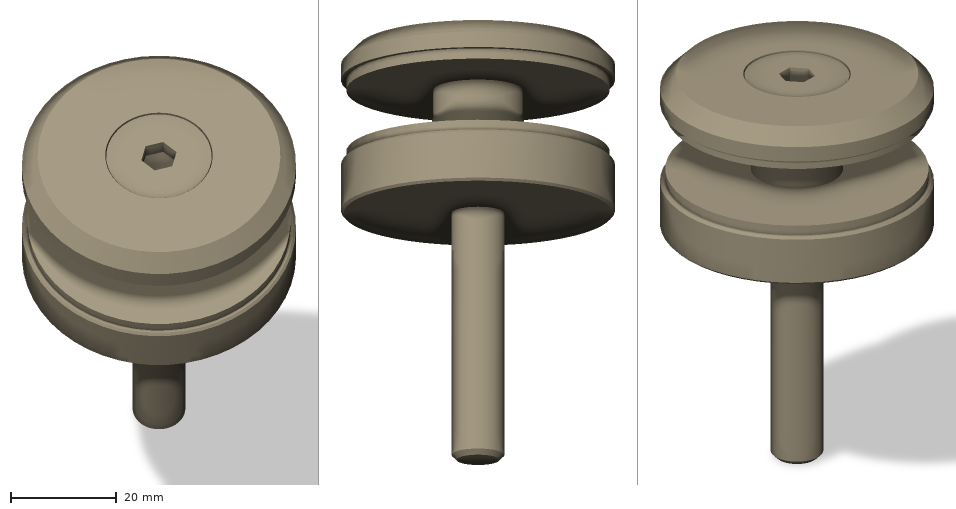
import cadquery as cq
import math

disc_diameter = 52.0
cap_thickness = 6.0
cap_chamfer = 3.0
base_thickness = 10.0
base_chamfer = 0.5

gasket_diameter = 50.0
gasket_thickness = 2.0

boss_diameter = 17.5
shank_diameter = 17.0
panel_gap = 11.95
boss_exposed = panel_gap / 2

head_recess_diameter = 20.4
head_clearance = 0.2
head_diameter = head_recess_diameter - 2 * head_clearance
head_drop = 0.25
head_recess_depth = cap_thickness / 2

socket_flats = 6.0
socket_depth = 3.05
drill_point_angle = 120

stud_diameter = 10.0
stud_exposed = 48.2
stud_chamfer = 1.0

base_bottom = stud_exposed
base_top = base_bottom + base_thickness
lower_gasket_top = base_top + gasket_thickness
boss_top = lower_gasket_top + boss_exposed
upper_gasket_bottom = lower_gasket_top + panel_gap
cap_bottom = upper_gasket_bottom + gasket_thickness
cap_top = cap_bottom + cap_thickness
head_top = cap_top - head_drop
head_bottom = cap_top - head_recess_depth


def cylinder(diameter, bottom, top):
    """Upright cylinder on the common axis."""
    return cq.Workplane("XY").workplane(offset=bottom).circle(diameter / 2).extrude(top - bottom)


def make_cap():
    """Chamfered disc with a stepped hole for the screw."""
    disc = cylinder(disc_diameter, cap_bottom, cap_top).faces(">Z").chamfer(cap_chamfer)
    shank_hole = cylinder(shank_diameter, cap_bottom, head_bottom)
    head_recess = cylinder(head_recess_diameter, head_bottom, cap_top)
    return disc.cut(shank_hole).cut(head_recess)


def make_gasket(bottom, hole_diameter):
    """Flat ring around the shank or the boss."""
    top = bottom + gasket_thickness
    return cylinder(gasket_diameter, bottom, top).cut(cylinder(hole_diameter, bottom, top))


def make_socket():
    """Hexagonal pocket, corners along X, ending in a cone that touches its flats."""
    socket_bottom = head_top - socket_depth
    socket_corners = socket_flats / math.cos(math.pi / 6)
    hexagon = (
        cq.Workplane("XY").workplane(offset=socket_bottom)
        .polygon(6, socket_corners).extrude(socket_depth)
    )
    cone_radius = socket_flats / 2
    cone_depth = cone_radius / math.tan(math.radians(drill_point_angle / 2))
    cone = cq.Solid.makeCone(
        cone_radius, 0, cone_depth, cq.Vector(0, 0, socket_bottom), cq.Vector(0, 0, -1)
    )
    return hexagon.union(cq.Workplane(cone))


def make_screw():
    """Head just below the cap face, on a shank that reaches down to the boss."""
    head = cylinder(head_diameter, head_bottom, head_top)
    shank = cylinder(shank_diameter, boss_top, head_bottom)
    return head.union(shank).cut(make_socket())


def make_base():
    """Disc with both rims chamfered, a boss on top and a blind stud hole below."""
    disc = cylinder(disc_diameter, base_bottom, base_top).faces("<Z or >Z").chamfer(base_chamfer)
    boss = cylinder(boss_diameter, base_top, boss_top)
    stud_hole = cylinder(stud_diameter, base_bottom, base_top)
    return disc.union(boss).cut(stud_hole)


def make_stud():
    """Rod with a chamfered free end, seated in the base."""
    return cylinder(stud_diameter, 0, base_top).faces("<Z").chamfer(stud_chamfer)


cap = make_cap()
upper_gasket = make_gasket(upper_gasket_bottom, shank_diameter)
lower_gasket = make_gasket(base_top, boss_diameter)
screw = make_screw()
base = make_base()
stud = make_stud()

result = cq.Compound.makeCompound(
    [body.val() for body in (cap, upper_gasket, lower_gasket, screw, base, stud)]
)